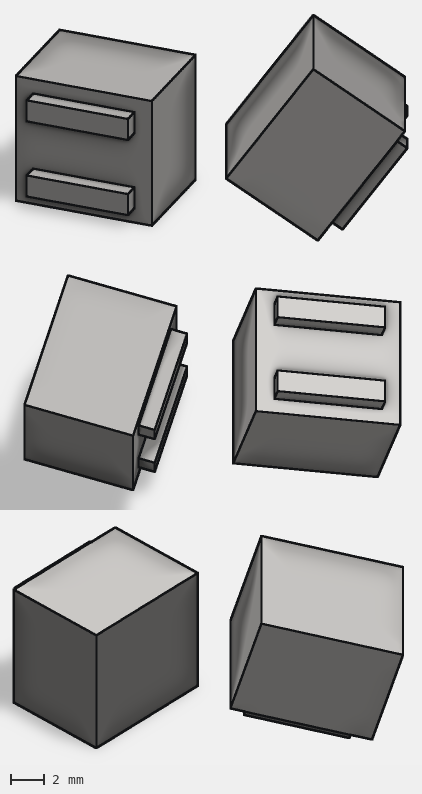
import cadquery as cq

width = 8.8
total_depth = 7.8
height = 8.3

bar_length = 6.55
bar_projection = 1.0
bar_height = 1.4
bar_spacing = 5.0

body_depth = total_depth - bar_projection


def make_body():
    """Plain block with its -Y face on the plane Y = 0."""
    return cq.Workplane("XY").box(width, body_depth, height, centered=(True, False, True))


def make_bars():
    """Horizontal bars, placed symmetrically above and below the block's centre."""
    return (
        cq.Workplane("XZ")
        .rarray(0.09, bar_spacing, 1, 2)
        .rect(bar_length, bar_height)
        .extrude(bar_projection)
    )


result = make_body().union(make_bars())